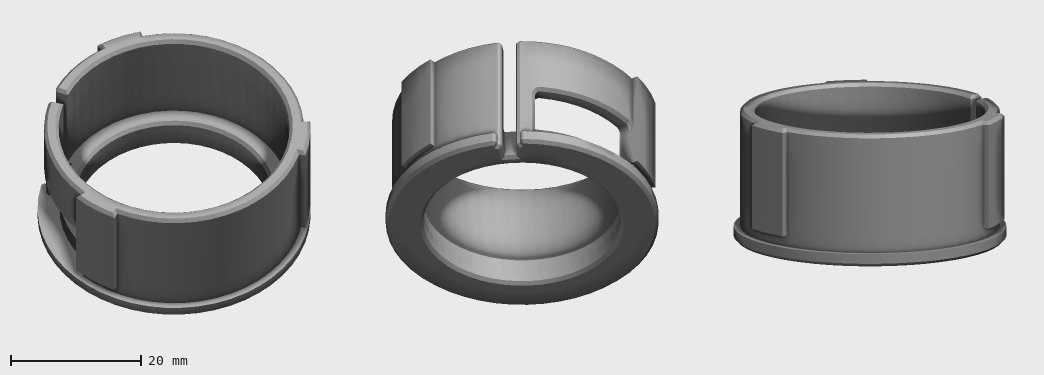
import cadquery as cq
import math

height = 20.5
flange_radius = 20.95
tube_radius = 19.95
bore_radius = 17.75
ledge_hole_radius = 30.25 / 2
flange_height = 2.0
ledge_height = 5.0
edge_chamfer = 0.5

pad_count = 3
pad_pitch = 360 / pad_count
pad_start_angle = 15.2
pad_span = 20.0
pad_bottom = 3.77
pad_root_radius = 18.85

slot_angle = 191.4
slot_half_span = 3.2
slot_floor_radius = 17.02
tube_corner_size = 0.63
flange_corner_radius = 0.63

window_start_angle = 203.2
window_end_angle = pad_start_angle + 2 * pad_pitch
window_top = 11.0
window_corner_radius = 0.92
window_root_radius = 17.6
window_root_fillet = 0.5

clearance = 2.1
tolerance = 0.005


def polar(radius, angle):
    """Point in the XY plane at a radius and an angle in degrees."""
    radians = math.radians(angle)
    return (radius * math.cos(radians), radius * math.sin(radians))


def ring_sector(inner, outer, start, end, bottom, top):
    """Block between two radii, two angles and two heights."""
    middle = (start + end) / 2
    return (
        cq.Workplane("XY", origin=(0, 0, bottom))
        .moveTo(*polar(inner, start))
        .lineTo(*polar(outer, start))
        .threePointArc(polar(outer, middle), polar(outer, end))
        .lineTo(*polar(inner, end))
        .threePointArc(polar(inner, middle), polar(inner, start))
        .close()
        .extrude(top - bottom)
    )


def make_tube():
    """Flanged tube with a stepped bore and a chamfered ledge."""
    profile = [
        (ledge_hole_radius, 0),
        (flange_radius, 0),
        (flange_radius, flange_height),
        (tube_radius, flange_height),
        (tube_radius, height),
        (bore_radius, height),
        (bore_radius, ledge_height),
        (ledge_hole_radius + edge_chamfer, ledge_height),
        (ledge_hole_radius, ledge_height - edge_chamfer),
    ]
    return cq.Workplane("XZ").polyline(profile).close().revolve(360, (0, 0), (0, 1))


def make_window():
    """Window cutter with rounded top corners and rounded upright corners at its root."""
    limits = (window_start_angle, window_end_angle, flange_height, window_top)
    outer = tube_radius + clearance
    arch = ring_sector(window_root_radius, outer, *limits)
    arch = arch.faces(">Z").edges("%LINE").fillet(window_corner_radius)

    def is_inner(edge):
        point = edge.Center()
        return math.hypot(point.x, point.y) < tube_radius

    pocket = ring_sector(window_root_radius, outer, *limits)
    inner_corners = [edge for edge in pocket.edges("|Z").vals() if is_inner(edge)]
    pocket = pocket.newObject(inner_corners).fillet(window_root_fillet)
    return arch.intersect(pocket)


def cut_window(body):
    """Cut the window and bevel its outer edges."""
    body = body.cut(make_window())

    def on_window_rim(edge):
        box = edge.BoundingBox()
        points = [edge.positionAt(t) for t in (0, 0.5, 1)]
        on_tube = all(abs(math.hypot(p.x, p.y) - tube_radius) < tolerance for p in points)
        above_flange = box.zmax > flange_height + tolerance
        return on_tube and above_flange and box.zmax < window_top + tolerance

    rim = [edge for edge in body.edges().vals() if on_window_rim(edge)]
    return body.newObject(rim).chamfer(edge_chamfer)


def eased_corner(rim_radius, corner_size, half_span):
    """Start, middle and end of an eased corner on a radial wall, as (radius, half span) pairs."""
    round_span = math.degrees(corner_size / rim_radius)
    near = 1 - math.sqrt(0.5)
    return [
        (rim_radius - corner_size, half_span),
        (rim_radius - corner_size * near, half_span + round_span * near),
        (rim_radius, half_span + round_span),
    ]


def make_slot():
    """Slot cutter; its tube corners are two flat facets, its flange corners arcs."""
    tube_facets = eased_corner(tube_radius, tube_corner_size, slot_half_span)
    flange_arc = eased_corner(flange_radius, flange_corner_radius, tube_facets[-1][1])
    floor = (slot_floor_radius, slot_half_span)
    outer = (flange_radius + clearance, flange_arc[-1][1])

    def place(points, side):
        return [polar(radius, slot_angle + side * span) for radius, span in points]

    first_tube, first_flange = place(tube_facets, 1), place(flange_arc, 1)
    last_tube, last_flange = place(tube_facets[::-1], -1), place(flange_arc[::-1], -1)
    return (
        cq.Workplane("XY")
        .polyline(place([floor], 1) + first_tube + first_flange[:1])
        .threePointArc(*first_flange[1:])
        .polyline(place([outer], 1) + place([outer], -1), includeCurrent=True)
        .lineTo(*last_flange[0])
        .threePointArc(*last_flange[1:])
        .polyline(last_tube + place([floor], -1), includeCurrent=True)
        .close()
        .extrude(height)
    )


def bevel_ends(body):
    """Bevel every edge of the top and bottom faces."""
    body = body.faces(">Z").edges().chamfer(edge_chamfer)
    return body.faces("<Z").edges().chamfer(edge_chamfer)


def make_pad(start):
    """Pad on the tube's outside, beveled at the top on its outer face and both sides."""
    pad = ring_sector(
        pad_root_radius, flange_radius, start, start + pad_span, pad_bottom, height
    )

    def is_exposed(edge):
        point = edge.Center()
        return math.hypot(point.x, point.y) > pad_root_radius + edge_chamfer

    top_edges = [edge for edge in pad.faces(">Z").edges().vals() if is_exposed(edge)]
    return pad.newObject(top_edges).chamfer(edge_chamfer)


body = make_tube().cut(make_slot())
body = bevel_ends(body)
body = cut_window(body)
for i in range(pad_count):
    body = body.union(make_pad(pad_start_angle + i * pad_pitch))
result = body